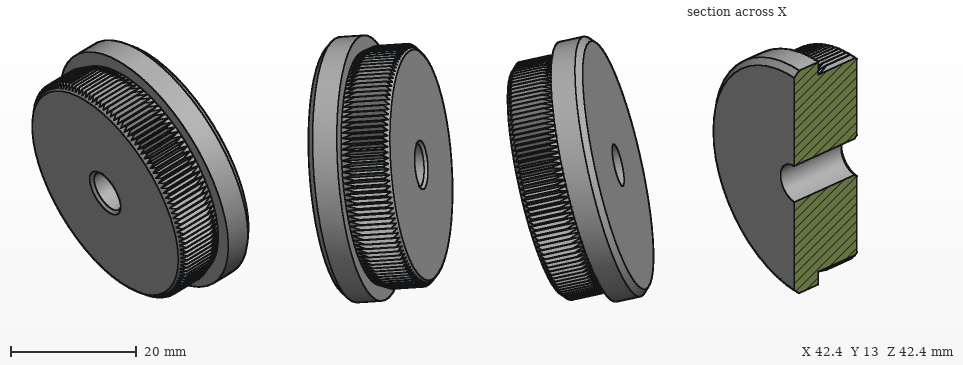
import cadquery as cq
import math

flange_diameter = 42.4
flange_thickness = 5.0
flange_chamfer = 1.0

plug_length = 8.0
plug_tip_radius = 19.4
plug_front_chamfer = 1.0
relief_length = 2.0
relief_angle = math.radians(20)

groove_count = 130
groove_depth = 0.7
tip_land_width = 0.1

bore_diameter = 6.8
countersink_diameter = 7.8

flange_radius = flange_diameter / 2
flange_back_y = flange_thickness
plug_front_y = -plug_length
relief_depth = relief_length * math.tan(relief_angle)


def make_disc_body():
    """Revolve the flange and the unknurled plug about the Y axis; the flange underside is at Y = 0."""
    return (
        cq.Workplane("XY")
        .moveTo(0, plug_front_y)
        .lineTo(plug_tip_radius - plug_front_chamfer, plug_front_y)
        .lineTo(plug_tip_radius, plug_front_y + plug_front_chamfer)
        .lineTo(plug_tip_radius, -relief_length)
        .lineTo(plug_tip_radius - relief_depth, 0)
        .lineTo(flange_radius, 0)
        .lineTo(flange_radius, flange_back_y - flange_chamfer)
        .lineTo(flange_radius - flange_chamfer, flange_back_y)
        .lineTo(0, flange_back_y)
        .close()
        .revolve(360, (0, 0, 0), (0, 1, 0))
    )


def polar_point(radius, angle):
    return (radius * math.cos(angle), radius * math.sin(angle))


def make_knurl_cutter():
    """Ring around the plug whose toothed inner edge carries every V groove."""
    pitch_angle = 2 * math.pi / groove_count
    half_land_angle = tip_land_width / plug_tip_radius / 2
    root_radius = plug_tip_radius - groove_depth

    tooth_outline = []
    for index in range(groove_count):
        root_angle = math.pi / 2 + index * pitch_angle
        tip_angle = root_angle + pitch_angle / 2
        tooth_outline.append(polar_point(root_radius, root_angle))
        tooth_outline.append(polar_point(plug_tip_radius, tip_angle - half_land_angle))
        tooth_outline.append(polar_point(plug_tip_radius, tip_angle + half_land_angle))

    ring = cq.Workplane("XZ").circle(flange_radius).extrude(plug_length)
    toothed_core = cq.Workplane("XZ").polyline(tooth_outline).close().extrude(plug_length)
    return ring.cut(toothed_core)


def make_bore_cutter():
    """Through bore with a 45 degree countersink on the plug face."""
    bore_radius = bore_diameter / 2
    countersink_radius = countersink_diameter / 2
    countersink_depth = countersink_radius - bore_radius
    return (
        cq.Workplane("XY")
        .moveTo(0, plug_front_y)
        .lineTo(countersink_radius, plug_front_y)
        .lineTo(bore_radius, plug_front_y + countersink_depth)
        .lineTo(bore_radius, flange_back_y)
        .lineTo(0, flange_back_y)
        .close()
        .revolve(360, (0, 0, 0), (0, 1, 0))
    )


result = make_disc_body().cut(make_knurl_cutter()).cut(make_bore_cutter())